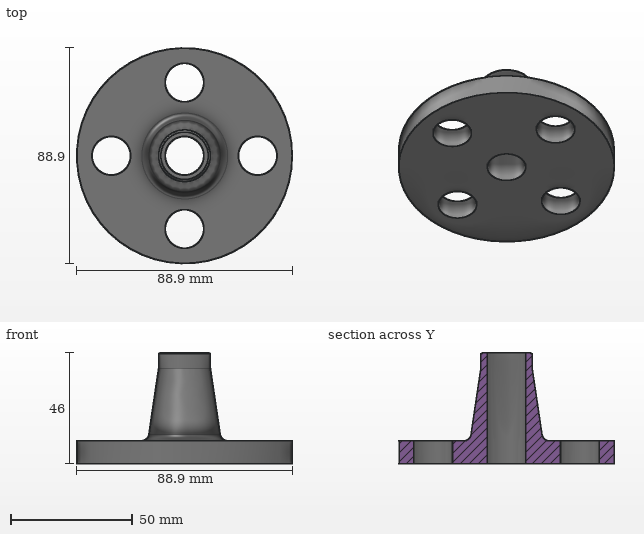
import cadquery as cq

flange_diameter = 88.9
flange_thickness = 9.6
overall_height = 45.95

bolt_hole_diameter = 15.8
bolt_circle_diameter = 60.35
bolt_count = 4

bore_diameter = 15.8
neck_diameter = 21.3
neck_length = 6.4
hub_base_diameter = 30.2
hub_fillet_radius = 3.0
bevel_width = 0.9
bevel_height = 0.5


def revolved_body():
    """Flange, tapered hub and bevelled neck, solid through the middle."""
    neck_radius = neck_diameter / 2
    neck_bottom = overall_height - neck_length
    profile = (
        cq.Workplane("XZ")
        .moveTo(0, 0)
        .lineTo(flange_diameter / 2, 0)
        .lineTo(flange_diameter / 2, flange_thickness)
        .lineTo(hub_base_diameter / 2, flange_thickness)
        .lineTo(neck_radius, neck_bottom)
        .lineTo(neck_radius, overall_height - bevel_height)
        .lineTo(neck_radius - bevel_width, overall_height)
        .lineTo(0, overall_height)
        .close()
    )
    return profile.revolve(360, (0, 0, 0), (0, 1, 0))


def fillet_hub_root(body):
    """Round the corner between the hub cone and the flange face."""
    root_edge = cq.selectors.RadiusNthSelector(-2)
    return body.edges("%CIRCLE").edges(root_edge).fillet(hub_fillet_radius)


def cut_holes(body):
    """Cut the central bore and the ring of bolt holes right through."""
    bore = cq.Workplane("XY").circle(bore_diameter / 2).extrude(overall_height)
    bolt_holes = (
        cq.Workplane("XY")
        .polarArray(bolt_circle_diameter / 2, 0, 360, bolt_count)
        .circle(bolt_hole_diameter / 2)
        .extrude(flange_thickness)
    )
    return body.cut(bore).cut(bolt_holes)


result = cut_holes(fillet_hub_root(revolved_body()))